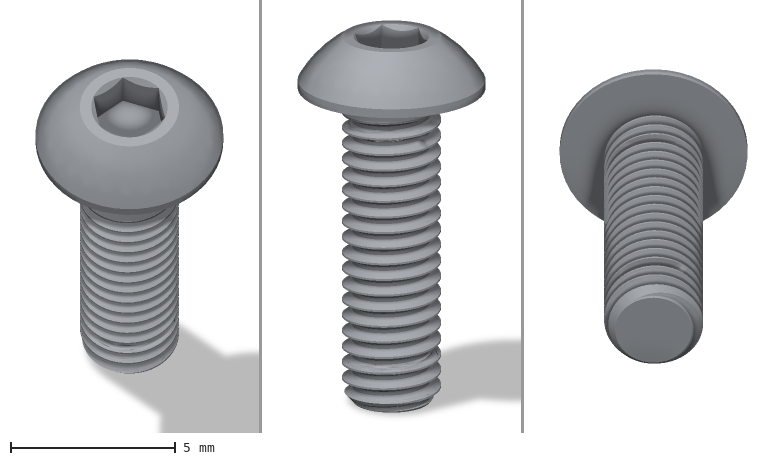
import cadquery as cq
import math

total_length = 11.65
head_height = 1.65
shank_length = total_length - head_height

head_diameter = 5.7
head_radius = head_diameter / 2
head_rim_height = 0.28
head_top_radius = 1.5
dome_radius = 3.85

socket_across_flats = 2.0
socket_depth = 1.15
corner_angle = 30
socket_corner_radius = socket_across_flats / math.sqrt(3)

thread_radius = 1.5
shank_pitch_count = 20
thread_pitch = shank_length / shank_pitch_count
thread_depth = 0.31
crest_width = thread_pitch / 8
root_width = thread_pitch / 4
root_radius = thread_radius - thread_depth
first_crest_drop = 0.07

tip_radius = 1.16
tip_height = 0.38

core_seam_angle = 45
envelope_seam_angle = 90


def make_head():
    """Revolve the rim and dome outline about Z."""
    outline = (
        cq.Workplane("XZ")
        .lineTo(head_radius, 0)
        .lineTo(head_radius, head_rim_height)
        .radiusArc((head_top_radius, head_height), -dome_radius)
        .lineTo(0, head_height)
        .close()
    )
    return outline.revolve(360, (0, 0, 0), (0, 1, 0))


def make_socket():
    """Hexagonal recess with corners on Y and a 45 degree conical entry."""
    hexagon = (
        cq.Workplane("XY", origin=(0, 0, head_height))
        .polygon(6, 2 * socket_corner_radius)
        .extrude(-socket_depth)
        .rotate((0, 0, 0), (0, 0, 1), corner_angle)
    )
    entry_depth = socket_corner_radius / 2
    entry = cq.Workplane(
        cq.Solid.makeCone(
            socket_corner_radius - entry_depth,
            socket_corner_radius,
            entry_depth,
            pnt=cq.Vector(0, 0, head_height - entry_depth),
        )
    )
    return hexagon.union(entry)


def make_thread_ridge():
    """Helical ridge running past both ends of the shank."""
    turns = shank_pitch_count + 3
    start_z = (1 - turns) * thread_pitch - first_crest_drop

    overlap = 0.03
    crest_half = crest_width / 2
    root_half = (thread_pitch - root_width) / 2
    flank_slope = (root_half - crest_half) / thread_depth
    base_half = root_half + overlap * flank_slope
    base_radius = root_radius - overlap

    helix = cq.Wire.makeHelix(thread_pitch, turns * thread_pitch, thread_radius)
    path = cq.Workplane(helix).translate((0, 0, start_z))
    profile = (
        cq.Workplane("XZ", origin=(0, 0, start_z))
        .moveTo(base_radius, base_half)
        .lineTo(thread_radius, crest_half)
        .lineTo(thread_radius, -crest_half)
        .lineTo(base_radius, -base_half)
        .close()
    )
    return profile.sweep(path, isFrenet=True)


def make_threaded_rod():
    """Core and ridge, both longer than the finished shank."""
    spare_length = 4 * thread_pitch
    core = (
        cq.Workplane("XY", origin=(0, 0, spare_length))
        .circle(root_radius)
        .extrude(-shank_length - 2 * spare_length)
        .rotate((0, 0, 0), (0, 0, 1), core_seam_angle)
    )
    return core.union(make_thread_ridge())


def make_shank_envelope():
    """Trimming body with flat ends and the conical tip, clear of the crests."""
    clearance = 0.12
    tip_slope = tip_height / (thread_radius - tip_radius)
    outer_radius = thread_radius + clearance
    cone_top = tip_height + clearance * tip_slope - shank_length
    outline = (
        cq.Workplane("XZ")
        .lineTo(outer_radius, 0)
        .lineTo(outer_radius, cone_top)
        .lineTo(tip_radius, -shank_length)
        .lineTo(0, -shank_length)
        .close()
    )
    envelope = outline.revolve(360, (0, 0, 0), (0, 1, 0))
    return envelope.rotate((0, 0, 0), (0, 0, 1), envelope_seam_angle)


head = make_head().cut(make_socket())
threaded_shank = make_threaded_rod().intersect(make_shank_envelope())
result = cq.Workplane(head.union(threaded_shank).solids().val())